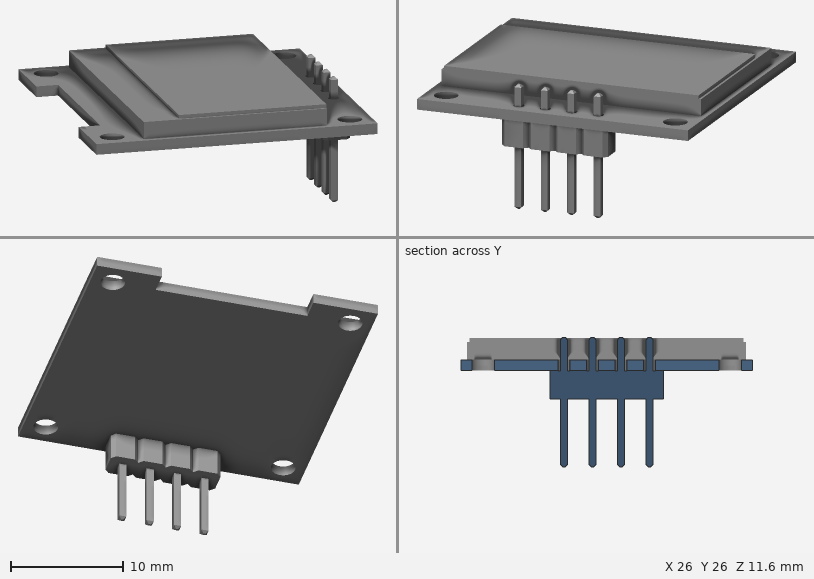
import cadquery as cq

BOARD_SIDE = 26.0
BOARD_THICKNESS = 1.0
MOUNT_HOLE_DIAMETER = 2.2
MOUNT_HOLE_INSET = 2.0
NOTCH_WIDTH = 14.05
NOTCH_DEPTH = 2.0

GLASS_WIDTH = 24.9
GLASS_LENGTH = 16.95
GLASS_THICKNESS = 1.55
FILM_SIDE_MARGIN = 0.23
FILM_WIDTH = GLASS_WIDTH - 2 * FILM_SIDE_MARGIN
FILM_LENGTH = 13.62
FILM_THICKNESS = 0.35

PIN_COUNT = 4
HEADER_LENGTH = 10.17
PIN_PITCH = HEADER_LENGTH / PIN_COUNT
PIN_ROW_INSET = 1.5
PIN_HOLE_DIAMETER = 1.0
PIN_WIDTH = 0.65
PIN_LENGTH = 11.6
PIN_TOP_HEIGHT = 2.0
PIN_TIP_HEIGHT = 0.23
PIN_TIP_WIDTH = 0.2
SLEEVE_HEIGHT = 2.55
SLEEVE_CORNER = 0.4

BOARD_BOTTOM = -BOARD_THICKNESS
PIN_ROW_Y = BOARD_SIDE / 2 - PIN_ROW_INSET
PIN_POSITIONS = [((i - (PIN_COUNT - 1) / 2) * PIN_PITCH, PIN_ROW_Y) for i in range(PIN_COUNT)]


def block(width, length, height, bottom):
    """Box centred on the Z axis, standing on the height `bottom`."""
    return cq.Workplane("XY", origin=(0, 0, bottom)).box(width, length, height, centered=(True, True, False))


def make_board():
    """Bare board with its mounting holes, pin holes and front notch."""
    board = block(BOARD_SIDE, BOARD_SIDE, BOARD_THICKNESS, BOARD_BOTTOM)

    hole_spacing = BOARD_SIDE - 2 * MOUNT_HOLE_INSET
    board = board.faces(">Z").workplane().rect(hole_spacing, hole_spacing, forConstruction=True).vertices()
    board = board.hole(MOUNT_HOLE_DIAMETER)

    pin_holes = (
        cq.Workplane("XY", origin=(0, 0, BOARD_BOTTOM))
        .pushPoints(PIN_POSITIONS)
        .circle(PIN_HOLE_DIAMETER / 2)
        .extrude(BOARD_THICKNESS)
    )
    notch_y = -(BOARD_SIDE - NOTCH_DEPTH) / 2
    notch = block(NOTCH_WIDTH, NOTCH_DEPTH, BOARD_THICKNESS, BOARD_BOTTOM).translate((0, notch_y, 0))
    return board.cut(pin_holes).cut(notch)


def make_display_board():
    """Board carrying the display glass and its film, flush along the rear edge of the glass."""
    glass = block(GLASS_WIDTH, GLASS_LENGTH, GLASS_THICKNESS, 0)
    film_y = (GLASS_LENGTH - FILM_LENGTH) / 2
    film = block(FILM_WIDTH, FILM_LENGTH, FILM_THICKNESS, GLASS_THICKNESS).translate((0, film_y, 0))
    return make_board().union(glass).union(film)


def make_pin():
    """Square pin on the Z axis, tapered at both ends."""
    pin_bottom = PIN_TOP_HEIGHT - PIN_LENGTH
    shank_bottom = pin_bottom + PIN_TIP_HEIGHT
    shank_top = PIN_TOP_HEIGHT - PIN_TIP_HEIGHT
    shank = block(PIN_WIDTH, PIN_WIDTH, shank_top - shank_bottom, shank_bottom)

    def tip(base, end):
        return (
            cq.Workplane("XY", origin=(0, 0, base))
            .rect(PIN_WIDTH, PIN_WIDTH)
            .workplane(offset=end - base)
            .rect(PIN_TIP_WIDTH, PIN_TIP_WIDTH)
            .loft(ruled=True)
        )

    return shank.union(tip(shank_top, PIN_TOP_HEIGHT)).union(tip(shank_bottom, pin_bottom))


def make_sleeve():
    """Eight-sided plastic sleeve under the board, as wide as the pin pitch."""
    sleeve = block(PIN_PITCH, PIN_PITCH, SLEEVE_HEIGHT, BOARD_BOTTOM - SLEEVE_HEIGHT)
    return sleeve.edges("|Z").chamfer(SLEEVE_CORNER)


def make_header():
    """Row of sleeves joined side to side, each with its pin."""
    segment = make_sleeve().union(make_pin())
    header = cq.Workplane("XY")
    for x, y in PIN_POSITIONS:
        header = header.union(segment.translate((x, y, 0)))
    return header


display_board = make_display_board()
header = make_header()

result = cq.Compound.makeCompound([display_board.val(), header.val()])